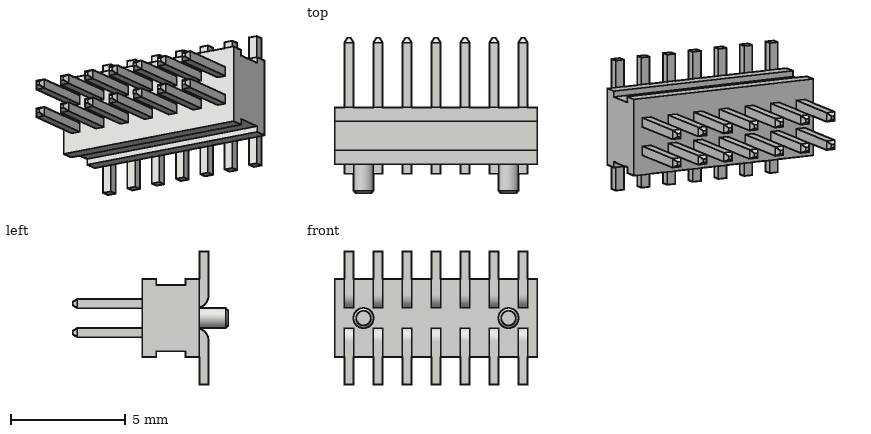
import cadquery as cq
import math

total_depth = 6.83

pitch = 1.27
pins_per_row = 7
mirror_sides = (1, -1)

housing_length = 8.89
housing_depth = 2.51
housing_height = 3.43
groove_width = pitch
groove_depth = 0.26

pin_width = 0.41
tail_length = 3.05
tip_length = 0.21
tip_width = 0.15
foot_span = 5.84
bend_outer_radius = 0.57

peg_diameter = 0.89
peg_length = total_depth - housing_depth - tail_length
peg_chamfer = 0.125
peg_offset = (pins_per_row - 2) / 2 * pitch


def make_block():
    """Housing block with a groove along its top and bottom faces."""
    block = cq.Workplane("XY").box(housing_length, housing_depth, housing_height)
    for side in mirror_sides:
        groove = cq.Workplane("XY").box(housing_length, groove_width, 2 * groove_depth)
        block = block.cut(groove.translate((0, 0, side * housing_height / 2)))
    return block.translate((0, housing_depth / 2, 0))


def make_pin():
    """Upper-row pin at x = 0: pointed tail, 90 degree bend and upright foot."""
    inner_z = (pitch - pin_width) / 2
    outer_z = inner_z + pin_width
    front_y = -pin_width
    tip_start_y = housing_depth + tail_length - tip_length
    bend_centre_y = front_y + bend_outer_radius
    bend_centre_z = inner_z + bend_outer_radius
    bend_inner_radius = bend_outer_radius - pin_width
    outer_diagonal = bend_outer_radius * math.cos(math.radians(45))
    inner_diagonal = bend_inner_radius * math.cos(math.radians(45))

    bent_bar = (
        cq.Workplane("YZ", origin=(-pin_width / 2, 0, 0))
        .moveTo(tip_start_y, inner_z)
        .lineTo(bend_centre_y, inner_z)
        .threePointArc(
            (bend_centre_y - outer_diagonal, bend_centre_z - outer_diagonal),
            (front_y, bend_centre_z),
        )
        .lineTo(front_y, foot_span / 2)
        .lineTo(0, foot_span / 2)
        .lineTo(0, bend_centre_z)
        .threePointArc(
            (bend_centre_y - inner_diagonal, bend_centre_z - inner_diagonal),
            (bend_centre_y, outer_z),
        )
        .lineTo(tip_start_y, outer_z)
        .close()
        .extrude(pin_width)
    )
    tip = (
        cq.Workplane("XZ", origin=(0, tip_start_y, pitch / 2))
        .rect(pin_width, pin_width)
        .workplane(offset=-tip_length)
        .rect(tip_width, tip_width)
        .loft()
    )
    return bent_bar.union(tip)


def make_housing():
    """Housing block in one piece with its two mirrored rows of pins."""
    housing = make_block()
    upper_pin = make_pin()
    lower_pin = upper_pin.mirror("XY")
    for column in range(pins_per_row):
        x = (column - (pins_per_row - 1) / 2) * pitch
        for pin in (upper_pin, lower_pin):
            housing = housing.union(pin.translate((x, 0, 0)))
    return housing


def make_peg(x):
    """Locating peg standing on the mounting face, chamfered at its free end."""
    return (
        cq.Workplane("XZ", origin=(x, 0, 0))
        .circle(peg_diameter / 2)
        .extrude(peg_length)
        .faces("<Y")
        .chamfer(peg_chamfer)
    )


housing = make_housing()
pegs = [make_peg(side * peg_offset) for side in mirror_sides]

result = cq.Compound.makeCompound([housing.val(), *[peg.val() for peg in pegs]])